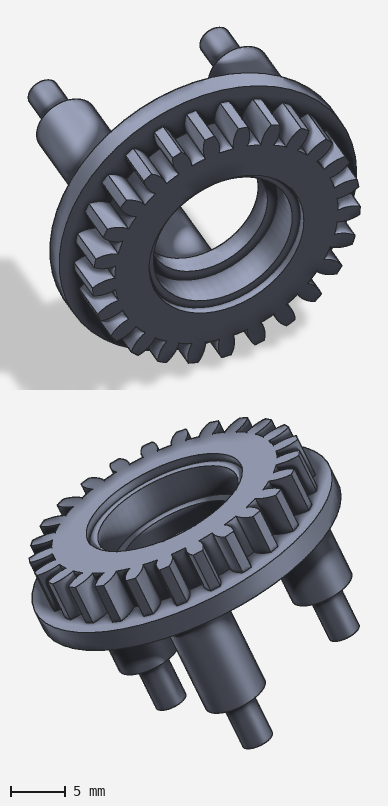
import cadquery as cq
import math

lowest_angle = -90

flange_diameter = 30.0
flange_thickness = 2.0

flange_bore_diameter = 12.0
gear_bore_diameter = 14.0
counterbore_diameter = 15.6
counterbore_depth = 0.8

pin_count = 3
pin_circle_radius = 10.0
pin_diameter = 6.0
pin_length = 10.0
tip_diameter = 3.0
tip_length = 5.0

overall_length = 21.0
gear_width = overall_length - tip_length - pin_length - flange_thickness
tooth_count = 25
gear_tip_radius = 13.5
gear_pitch_radius = 12.5
gear_root_radius = 11.25
root_half_angle = 3.6
pitch_half_angle = 3.6
tip_half_angle = 2.05


def polar(radius, angle):
    """Point in the YZ plane; the angle is in degrees from +Y towards +Z."""
    turn = math.radians(angle)
    return radius * math.cos(turn), radius * math.sin(turn)


def flange():
    return cq.Workplane("YZ").circle(flange_diameter / 2).extrude(flange_thickness)


def stepped_pin(angle):
    y, z = polar(pin_circle_radius, angle)
    base = cq.Workplane("YZ").center(y, z)
    body = base.circle(pin_diameter / 2).extrude(-pin_length)
    tip = base.circle(tip_diameter / 2).extrude(-pin_length - tip_length)
    return body.union(tip)


def gear():
    """Toothed ring: arc flanks that bulge outwards, arc tips and arc roots."""
    pitch_angle = 360 / tooth_count
    outline = cq.Workplane("YZ", origin=(flange_thickness, 0, 0))
    outline = outline.moveTo(*polar(gear_root_radius, lowest_angle - root_half_angle))
    for tooth in range(tooth_count):
        middle = lowest_angle + tooth * pitch_angle
        outline = (
            outline
            .threePointArc(polar(gear_pitch_radius, middle - pitch_half_angle),
                           polar(gear_tip_radius, middle - tip_half_angle))
            .threePointArc(polar(gear_tip_radius, middle),
                           polar(gear_tip_radius, middle + tip_half_angle))
            .threePointArc(polar(gear_pitch_radius, middle + pitch_half_angle),
                           polar(gear_root_radius, middle + root_half_angle))
            .threePointArc(polar(gear_root_radius, middle + pitch_angle / 2),
                           polar(gear_root_radius, middle + pitch_angle - root_half_angle))
        )
    return outline.close().extrude(gear_width)


def bore():
    """Narrow bore through the flange, wider in the gear, widest at the gear's end face."""
    back = flange_thickness + gear_width
    narrow = cq.Workplane("YZ").circle(flange_bore_diameter / 2).extrude(back)
    wide = (
        cq.Workplane("YZ", origin=(flange_thickness, 0, 0))
        .circle(gear_bore_diameter / 2)
        .extrude(gear_width)
    )
    counterbore = (
        cq.Workplane("YZ", origin=(back - counterbore_depth, 0, 0))
        .circle(counterbore_diameter / 2)
        .extrude(counterbore_depth)
    )
    return narrow.union(wide).union(counterbore)


result = flange().union(gear())
for pin in range(pin_count):
    result = result.union(stepped_pin(lowest_angle + pin * 360 / pin_count))
result = result.cut(bore())